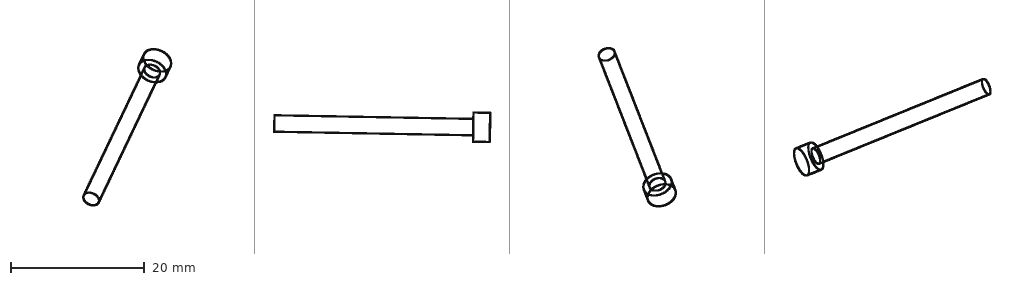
import cadquery as cq

HEAD_DIAMETER = 4.4
HEAD_LENGTH = 2.5
SHANK_DIAMETER = 2.5
TOTAL_LENGTH = 32.3
SHANK_LENGTH = TOTAL_LENGTH - HEAD_LENGTH

UNDERSIDE_PLANE = cq.Workplane("XZ")


def make_head():
    return UNDERSIDE_PLANE.circle(HEAD_DIAMETER / 2).extrude(-HEAD_LENGTH)


def make_shank():
    return UNDERSIDE_PLANE.circle(SHANK_DIAMETER / 2).extrude(SHANK_LENGTH)


result = make_head().union(make_shank())